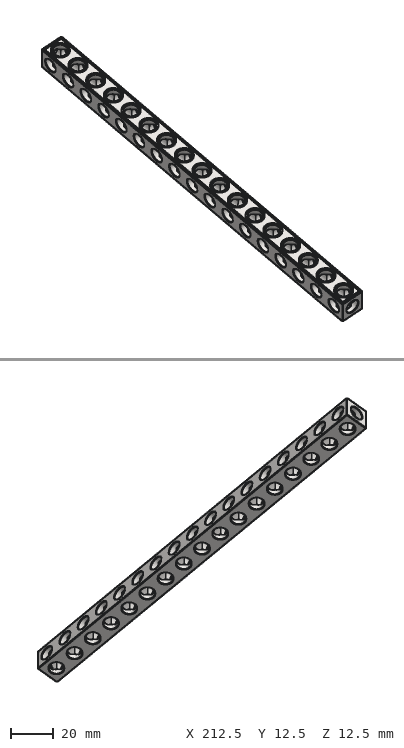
import cadquery as cq

length = 212.5
hole_count = 17
hole_diameter = 7.0
collar_diameter = 9.1
edge_chamfer = 0.3
rim_width = 1.1
recess_depth = 0.2

pitch = length / hole_count
half_side = pitch / 2


def chamfered_drill(depth):
    """Cutter along Z, centred on the origin, that flares at both ends to chamfer the hole it makes."""
    bore_radius = hole_diameter / 2
    mouth_radius = bore_radius + edge_chamfer
    half_depth = depth / 2
    profile = (
        cq.Workplane("XZ")
        .moveTo(0, -half_depth)
        .lineTo(mouth_radius, -half_depth)
        .lineTo(bore_radius, -half_depth + edge_chamfer)
        .lineTo(bore_radius, half_depth - edge_chamfer)
        .lineTo(mouth_radius, half_depth)
        .lineTo(0, half_depth)
        .close()
    )
    return profile.revolve(360, (0, 0, 0), (0, 1, 0)).val()


def one_per_cell(plane):
    """Points at the centre of every cell, on a plane whose local x runs along the beam."""
    return plane.rarray(pitch, 2.1, hole_count, 1)


def drill_row(plane_name):
    """A row of drills through the beam, square to the named plane."""
    drill = chamfered_drill(pitch)
    return one_per_cell(cq.Workplane(plane_name)).eachpoint(drill, combine=True)


def top_recess():
    """Shallow recess in the top face, leaving a rim and a flush collar round each hole."""
    floor = cq.Workplane("XY").workplane(offset=half_side - recess_depth)
    pocket = floor.rect(length - 2 * rim_width, pitch - 2 * rim_width).extrude(recess_depth)
    collars = one_per_cell(floor).circle(collar_diameter / 2).extrude(recess_depth)
    return pocket.cut(collars)


beam = cq.Workplane("XY").box(length, pitch, pitch).edges().chamfer(edge_chamfer)
beam = beam.cut(top_recess())

vertical_holes = drill_row("XY")
cross_holes = drill_row("XZ")
long_bore = cq.Workplane("YZ").eachpoint(chamfered_drill(length), combine=True)

result = beam.cut(vertical_holes).cut(cross_holes).cut(long_bore)